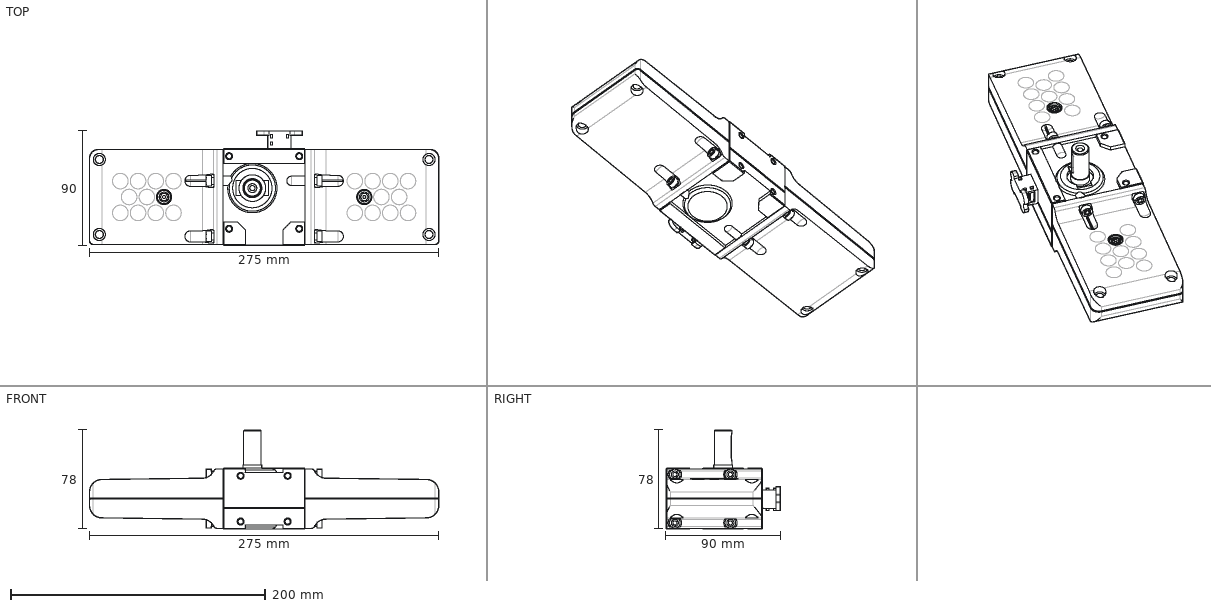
import cadquery as cq
import math

housing_x = 64.6
housing_y = 76.0
housing_z = 48.0
housing_chamfer = 0.7
seam_width = 0.8
seam_depth = 0.5
housing_seam_z = -7.5

recess_depth = 3.4
recess_rear_y = 26.5
pad_front_y = -19.5
pad_inner_x = 14.8
pad_chamfer = 6.3

shaft_x = -9.3
shaft_y = 7.0
shaft_diameter = 14.0
shaft_top_z = 54.0
shaft_bottom_z = -10.0
shaft_chamfer = 0.7
collar_diameter = 15.0
collar_top_z = 26.6
centre_hole_diameter = 4.13
centre_hole_mouth = 7.0
centre_hole_depth = 12.0
keyway_width = 5.0
keyway_depth = 3.0
keyway_bottom_z = 29.8
keyway_top_z = 51.5
boss_base_radius = 19.4
boss_shoulder_radius = 18.2
boss_top_radius = 15.5
boss_shoulder_drop = 1.6
boss_root_depth = 1.0
seal_diameter = 21.0
seal_depth = 3.0
seal_lug_length = 25.6
seal_lug_width = 11.6
seal_lug_depth = 1.5

screw_axis_z = 19.0
screw_rear_y = 12.7
screw_front_y = -31.0
rib_diameter = 8.0
rib_inner_x = 21.5
screw_head_diameter = 8.4
screw_head_inner_x = 41.5
screw_head_outer_x = 45.6
screw_socket_diameter = 5.5
screw_socket_depth = 2.5
screw_pin_diameter = 3.24
channel_diameter = 10.5
channel_seat_x = 39.5
channel_end_x = 58.0
channel_slit_width = 1.2
channel_slit_depth = 1.0
channel_slit_overrun = 3.6

thread_diameter = 4.13
thread_mouth = 5.5
thread_depth = 8.0
hole_cone_angle = 30.0
face_hole_x = 18.5
face_hole_z = 18.0
pad_hole_x = 27.6
pad_hole_rear_y = 32.1
pad_hole_front_y = -25.0

connector_x = 12.0
connector_width = 18.5
connector_height = 14.8
connector_middle_z = -0.4
connector_tip_y = 52.0
flange_length = 36.0
flange_height = 19.0
flange_thickness = 3.6
flange_corner_radius = 6.0
flange_notch_diameter = 5.5
flange_relief_width = 16.5
side_pocket_y = (40.6, 47.6)
side_pocket_height = 10.6
side_pocket_depth = 4.0
side_post_diameter = 3.0
side_post_y = 42.2
contact_rib_width = 0.5
contact_rib_pitch = 1.0
contact_rib_count = 3
contact_first_y = 44.8
clip_width = 1.6
clip_length = 2.4
clip_height = 17.6
clip_middle_z = -0.6
clip_left_x = connector_x - 6.3
clip_right_x = connector_x + 6.3
clip_near_y = 42.0
clip_far_y = 47.8

wing_y = 75.0
wing_end_x = 137.5
wing_flange_z = 23.5
wing_flange_x = 37.0
wing_root_x = 48.5
wing_root_z = 16.2
wing_tip_z = 15.2
brow_radius = 3.0
wing_end_radius = 10.0
rear_corner_radius = 7.0
front_corner_radius = 3.0
mount_hole_x = 129.7
mount_hole_y = 29.5
mount_hole_diameter = 6.1
mount_cbore_diameter = 9.5
mount_cbore_floor_z = 9.5
dimple_diameter = 12.2
dimple_depth = 0.5
dimple_pitch = 13.95
dimple_row_spacing = 12.5
dimple_first_x = 71.8
plug_x = 78.8
plug_recess_diameter = 10.5
plug_recess_depth = 2.5
plug_mouth_diameter = 12.0
plug_head_diameter = 7.6
plug_head_height = 1.5
plug_pin_diameter = 2.3
plug_hex_size = 6.1

cove_run = wing_root_x - wing_flange_x
cove_drop = wing_flange_z - wing_root_z
cove_angle = 2 * math.atan2(cove_drop, cove_run)
cove_radius = cove_run / math.sin(cove_angle) - brow_radius
wing_brow_x = wing_flange_x + brow_radius * math.sin(cove_angle)
wing_brow_z = wing_flange_z - brow_radius * (1 - math.cos(cove_angle))

half_x = housing_x / 2
half_y = housing_y / 2
half_z = housing_z / 2
recess_floor_z = half_z - recess_depth
shaft_axis = (shaft_x, shaft_y)
screw_rows = (screw_rear_y, screw_front_y)


def disc(centre, diameter, bottom_z, top_z):
    """Upright cylinder between two heights."""
    x, y = centre
    return cq.Workplane("XY", origin=(x, y, bottom_z)).circle(diameter / 2).extrude(top_z - bottom_z)


def cylinder_along_x(diameter, start_x, end_x, y, z):
    return cq.Workplane("YZ", origin=(start_x, y, z)).circle(diameter / 2).extrude(end_x - start_x)


def block(x_range, y_range, z_range):
    lows, highs = zip(x_range, y_range, z_range)
    sizes = [high - low for low, high in zip(lows, highs)]
    return cq.Workplane("XY", origin=lows).box(*sizes, centered=False)


def both_faces(body):
    """The body together with its mirror image below the middle plane."""
    return body.union(body.mirror("XY"))


def threaded_hole(diameter, mouth, depth):
    """Blind hole down from the origin with a chamfered mouth and a conical end."""
    mouth_drop = (mouth - diameter) / 2
    cone_depth = diameter / 2 * math.tan(math.radians(hole_cone_angle))
    return (
        cq.Workplane("XZ")
        .moveTo(0, 0)
        .lineTo(mouth / 2, 0)
        .lineTo(diameter / 2, -mouth_drop)
        .lineTo(diameter / 2, -depth)
        .lineTo(0, -depth - cone_depth)
        .close()
        .revolve(360, (0, 0, 0), (0, 1, 0))
    )


def recess_outline():
    """Recess running to both X sides and, between the corner pads, to the front."""
    outline = cq.Workplane("XY", origin=(0, 0, recess_floor_z)).moveTo(-half_x, recess_rear_y)
    outline = outline.lineTo(half_x, recess_rear_y).lineTo(half_x, pad_front_y)
    outline = outline.lineTo(pad_inner_x + pad_chamfer, pad_front_y)
    outline = outline.lineTo(pad_inner_x, pad_front_y - pad_chamfer).lineTo(pad_inner_x, -half_y)
    outline = outline.lineTo(-pad_inner_x, -half_y).lineTo(-pad_inner_x, pad_front_y - pad_chamfer)
    outline = outline.lineTo(-pad_inner_x - pad_chamfer, pad_front_y)
    return outline.lineTo(-half_x, pad_front_y).close()


def shaft_boss():
    """Round boss with two sloping steps, rising from the recess floor."""
    return (
        cq.Workplane("XZ", origin=(shaft_x, shaft_y, 0))
        .moveTo(0, recess_floor_z - boss_root_depth)
        .lineTo(boss_base_radius, recess_floor_z - boss_root_depth)
        .lineTo(boss_base_radius, recess_floor_z)
        .lineTo(boss_shoulder_radius, half_z - boss_shoulder_drop)
        .lineTo(boss_top_radius, half_z)
        .lineTo(0, half_z)
        .close()
        .revolve(360, (0, 0, 0), (0, 1, 0))
    )


def screw_rib(side):
    """Round-ended rib over the rear fixing screw, on the left (-1) or right (+1)."""
    start, end = sorted((side * rib_inner_x, side * half_x))
    rib = cylinder_along_x(rib_diameter, start, end, screw_rear_y, screw_axis_z)
    tip = cq.Workplane("XY", origin=(side * rib_inner_x, screw_rear_y, screw_axis_z)).sphere(rib_diameter / 2)
    return rib.union(tip)


def seal_recess():
    """Stepped bore around the shaft with a lug slot on each side."""
    bore = disc(shaft_axis, seal_diameter, half_z - seal_depth, half_z)
    lugs = cq.Workplane("XY", origin=(shaft_x, shaft_y, half_z - seal_lug_depth))
    lugs = lugs.rect(seal_lug_length, seal_lug_width).extrude(seal_lug_depth)
    return bore.union(lugs)


def make_connector():
    """Rectangular body with a notched mounting ear on each side of its tip."""
    body_end_y = connector_tip_y - flange_thickness
    side_x = connector_x - connector_width / 2
    body = (
        cq.Workplane("XY", origin=(connector_x, (half_y + body_end_y) / 2, connector_middle_z))
        .box(connector_width, body_end_y - half_y, connector_height)
    )
    pocket_half = side_pocket_height / 2
    body = body.cut(block((side_x, side_x + side_pocket_depth), side_pocket_y, (-pocket_half, pocket_half)))
    post_centre = (side_x + side_pocket_depth - side_post_diameter / 2, side_post_y)
    body = body.union(disc(post_centre, side_post_diameter, -pocket_half, pocket_half))
    for index in range(contact_rib_count):
        rib_y = contact_first_y + index * contact_rib_pitch
        rib_x_range = (side_x + side_pocket_depth / 2, side_x + side_pocket_depth)
        body = body.union(block(rib_x_range, (rib_y, rib_y + contact_rib_width), (-pocket_half, pocket_half)))
    flange = (
        cq.Workplane("XY", origin=(connector_x, connector_tip_y - flange_thickness / 2, 0))
        .box(flange_length, flange_thickness, flange_height)
        .edges("|Y")
        .fillet(flange_corner_radius)
    )
    notches = (
        cq.Workplane("XZ", origin=(connector_x, connector_tip_y, 0))
        .pushPoints([(-flange_length / 2, 0), (flange_length / 2, 0)])
        .circle(flange_notch_diameter / 2)
        .extrude(flange_thickness)
    )
    relief = cq.Workplane("XZ", origin=(connector_x, connector_tip_y, 0))
    relief = relief.rect(flange_relief_width, flange_height).extrude(flange_thickness)
    flange = flange.cut(notches).cut(relief)
    tip = (
        cq.Workplane("XZ", origin=(connector_x, connector_tip_y, connector_middle_z))
        .rect(flange_relief_width, connector_height)
        .extrude(flange_thickness)
    )
    clip_places = [(clip_left_x, clip_near_y), (clip_left_x, clip_far_y), (clip_right_x, clip_far_y)]
    clips = (
        cq.Workplane("XY", origin=(0, 0, clip_middle_z))
        .pushPoints(clip_places)
        .rect(clip_width, clip_length)
        .extrude(clip_height / 2, both=True)
    )
    return body.union(flange).union(tip).union(clips)


def make_housing():
    housing = cq.Workplane("XY").box(housing_x, housing_y, housing_z).edges().chamfer(housing_chamfer)
    housing = housing.cut(both_faces(recess_outline().extrude(recess_depth)))
    housing = housing.union(both_faces(shaft_boss()))
    for side in (-1, 1):
        housing = housing.union(both_faces(screw_rib(side)))

    housing = housing.cut(seal_recess())
    housing = housing.cut(disc(shaft_axis, collar_diameter, shaft_bottom_z, half_z))

    seam_z = (housing_seam_z - seam_width / 2, housing_seam_z + seam_width / 2)
    housing = housing.cut(block((-half_x, half_x), (-half_y, -half_y + seam_depth), seam_z))
    housing = housing.cut(block((-half_x, half_x), (half_y - seam_depth, half_y), seam_z))

    hole = threaded_hole(thread_diameter, thread_mouth, thread_depth)
    face_hole = hole.rotate((0, 0, 0), (1, 0, 0), 90)
    for side in (-1, 1):
        for y in (pad_hole_rear_y, pad_hole_front_y):
            housing = housing.cut(hole.translate((side * pad_hole_x, y, half_z)))
        for z in (-face_hole_z, face_hole_z):
            housing = housing.cut(face_hole.translate((side * face_hole_x, -half_y, z)))
    return housing.union(make_connector())


def make_shaft():
    shaft = disc(shaft_axis, shaft_diameter, shaft_bottom_z, shaft_top_z).faces(">Z").chamfer(shaft_chamfer)
    shaft = shaft.union(disc(shaft_axis, collar_diameter, shaft_bottom_z, collar_top_z))
    centre_hole = threaded_hole(centre_hole_diameter, centre_hole_mouth, centre_hole_depth)
    shaft = shaft.cut(centre_hole.translate((shaft_x, shaft_y, shaft_top_z)))

    keyway_middle_z = (keyway_bottom_z + keyway_top_z) / 2
    keyway = (
        cq.Workplane("XZ", origin=(shaft_x, shaft_y + shaft_diameter / 2, keyway_middle_z))
        .slot2D(keyway_top_z - keyway_bottom_z, keyway_width, 90)
        .extrude(keyway_depth)
    )
    return shaft.cut(keyway)


def wing_profile():
    """Side profile: thick flange, concave cove, gently tapered arm and rounded end."""
    round_start_x = wing_end_x - wing_end_radius
    end_flat_z = wing_tip_z - wing_end_radius
    diagonal = wing_end_radius * math.sqrt(0.5)
    round_middle_x = round_start_x + diagonal
    round_middle_z = end_flat_z + diagonal
    return (
        cq.Workplane("XZ", origin=(0, wing_y / 2, 0))
        .moveTo(half_x, -wing_flange_z)
        .lineTo(half_x, wing_flange_z)
        .lineTo(wing_flange_x, wing_flange_z)
        .radiusArc((wing_brow_x, wing_brow_z), brow_radius)
        .radiusArc((wing_root_x, wing_root_z), -cove_radius)
        .lineTo(round_start_x, wing_tip_z)
        .threePointArc((round_middle_x, round_middle_z), (wing_end_x, end_flat_z))
        .lineTo(wing_end_x, -end_flat_z)
        .threePointArc((round_middle_x, -round_middle_z), (round_start_x, -wing_tip_z))
        .lineTo(wing_root_x, -wing_root_z)
        .radiusArc((wing_brow_x, -wing_brow_z), -cove_radius)
        .radiusArc((wing_flange_x, -wing_flange_z), brow_radius)
        .close()
    )


def wing_plan(inset):
    """Upright block with the wing's plan outline, shrunk by the inset on its three free sides."""
    end_x = wing_end_x - inset
    side_y = wing_y / 2 - inset
    z_range = (-wing_flange_z, wing_flange_z)
    plan = block((half_x, end_x), (-side_y, side_y), z_range)
    plan = plan.edges("|Z and >X and >Y").fillet(rear_corner_radius - inset)
    return plan.edges("|Z and >X and <Y").fillet(front_corner_radius - inset)


def wing_seam():
    """Shallow groove around the middle plane of the wing."""
    z_range = (-seam_width / 2, seam_width / 2)
    slab = block((half_x, wing_end_x), (-wing_y / 2, wing_y / 2), z_range)
    return slab.cut(wing_plan(seam_depth))


def screw_channel(y):
    """Round-ended channel giving access to a fixing screw."""
    channel = cylinder_along_x(channel_diameter, channel_seat_x, channel_end_x, y, screw_axis_z)
    end = cq.Workplane("XY", origin=(channel_end_x, y, screw_axis_z)).sphere(channel_diameter / 2)
    return channel.union(end)


def screw_head(y):
    """Screw head standing on the channel seat, with a socket and a centre pin."""
    socket_x = screw_head_outer_x - screw_socket_depth
    head = cylinder_along_x(screw_head_diameter, screw_head_inner_x, screw_head_outer_x, y, screw_axis_z)
    shank = cylinder_along_x(screw_socket_diameter, half_x, screw_head_inner_x, y, screw_axis_z)
    socket = cylinder_along_x(screw_socket_diameter, socket_x, screw_head_outer_x, y, screw_axis_z)
    pin = cylinder_along_x(screw_pin_diameter, socket_x, screw_head_outer_x, y, screw_axis_z)
    return head.cut(socket).union(pin).union(shank)


def channel_slit():
    """Narrow slit along the floor of the rear channel."""
    floor_z = screw_axis_z - channel_diameter / 2
    return block(
        (screw_head_outer_x, channel_end_x + channel_slit_overrun),
        (screw_rear_y - channel_slit_width / 2, screw_rear_y + channel_slit_width / 2),
        (floor_z - channel_slit_depth, wing_flange_z),
    )


def mounting_hole(y):
    """Through hole, counterbored from both faces."""
    centre = (mount_hole_x, y)
    hole = disc(centre, mount_hole_diameter, -wing_flange_z, wing_flange_z)
    return hole.union(both_faces(disc(centre, mount_cbore_diameter, mount_cbore_floor_z, wing_flange_z)))


def arm_top_z(x):
    """Height of the tapered upper face of the arm."""
    fraction = (x - wing_root_x) / (wing_end_x - wing_end_radius - wing_root_x)
    return wing_root_z + fraction * (wing_tip_z - wing_root_z)


def dimple_places():
    """Three staggered rows; the plug takes the inner place of the middle row."""
    outer_rows = [
        (dimple_first_x + dimple_pitch * column, side * dimple_row_spacing)
        for side in (-1, 1)
        for column in range(4)
    ]
    middle_row = [(plug_x + dimple_pitch * column, 0) for column in (1, 2)]
    return outer_rows + middle_row


def dimple(x, y):
    """Shallow spherical hollow."""
    rim_radius = dimple_diameter / 2
    sphere_radius = (rim_radius**2 + dimple_depth**2) / (2 * dimple_depth)
    centre_z = arm_top_z(x) - dimple_depth + sphere_radius
    bottom_z = arm_top_z(x) - 2 * dimple_depth
    ball = cq.Workplane("XZ", origin=(x, y, centre_z)).sphere(sphere_radius)
    return ball.intersect(disc((x, y), 2 * dimple_diameter, bottom_z, bottom_z + 4 * dimple_depth))


def fit_plug(wing):
    """Round plug head with a hexagonal socket and a centre pin, standing in its recess."""
    centre = (plug_x, 0)
    floor_z = arm_top_z(plug_x) - plug_recess_depth
    head_z = floor_z + plug_head_height
    recess = disc(centre, plug_recess_diameter, floor_z, wing_flange_z)
    mouth_drop = (plug_mouth_diameter - plug_recess_diameter) / 2
    mouth = (
        cq.Workplane("XY", origin=(plug_x, 0, arm_top_z(plug_x)))
        .circle(plug_mouth_diameter / 2)
        .extrude(-mouth_drop, taper=45)
    )
    head = disc(centre, plug_head_diameter, floor_z, head_z)
    socket = cq.Workplane("XY", origin=(plug_x, 0, floor_z)).polygon(6, plug_hex_size)
    socket = socket.extrude(plug_head_height)
    pin = disc(centre, plug_pin_diameter, floor_z, head_z)
    return wing.cut(recess).cut(mouth).union(head.cut(socket)).union(pin)


def make_right_wing():
    wing = wing_profile().extrude(wing_y).intersect(wing_plan(0))
    wing = wing.cut(wing_seam())
    for y in screw_rows:
        wing = wing.cut(both_faces(screw_channel(y)))
    wing = wing.cut(channel_slit())
    for y in screw_rows:
        wing = wing.union(both_faces(screw_head(y)))
    for y in (-mount_hole_y, mount_hole_y):
        wing = wing.cut(mounting_hole(y))
    for x, y in dimple_places():
        wing = wing.cut(dimple(x, y))
    return fit_plug(wing)


housing = make_housing()
shaft = make_shaft()
right_wing = make_right_wing()
left_wing = right_wing.mirror("YZ")

bodies = [housing, shaft, right_wing, left_wing]
result = cq.Compound.makeCompound([body.solids().val() for body in bodies])